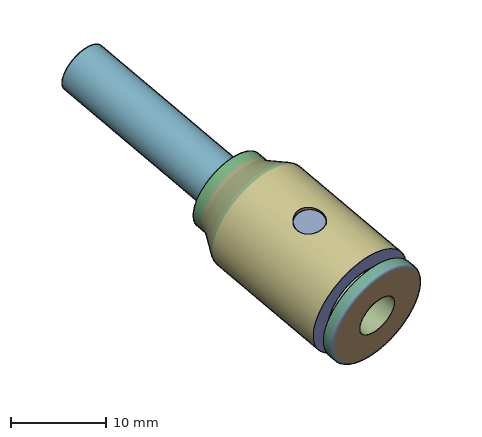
import cadquery as cq
import math

tube_start = 0.0
collar_start = 22.15
cone_start = 23.8
body_end = 42.35
flange_start = 43.42
overall_length = 45.0

bore_radius = 2.5
tube_radius = 3.0
collar_radius = 5.0
body_radius = 6.75
neck_radius = 4.6
flange_radius = 6.5

cone_angle = math.radians(31)
cone_end = cone_start + (body_radius - collar_radius) / math.tan(cone_angle)
cone_blend_radius = 1.0
flange_edge = 0.3

recess_x = 34.7
recess_radius = 1.75
recess_depth = 0.5


def cylinder(start, end, radius):
    """Solid cylinder centred on the X axis."""
    return cq.Workplane("YZ", origin=(start, 0, 0)).circle(radius).extrude(end - start)


def make_body():
    """Collar, cone and main barrel, with rounded blends at both ends of the cone."""
    profile = [
        (collar_start, 0),
        (collar_start, collar_radius),
        (cone_start, collar_radius),
        (cone_end, body_radius),
        (body_end, body_radius),
        (body_end, 0),
    ]
    body = cq.Workplane("XY").polyline(profile).close().revolve(360, (0, 0, 0), (1, 0, 0))
    cone_edges = cq.selectors.BoxSelector(
        (cone_start - cone_blend_radius, -body_radius, -body_radius),
        (cone_end + cone_blend_radius, body_radius, body_radius),
    )
    return body.edges("%CIRCLE").edges(cone_edges).fillet(cone_blend_radius)


def make_flange():
    """Release ring with rounded rims."""
    flange = cylinder(flange_start, overall_length, flange_radius)
    return flange.edges("%CIRCLE").fillet(flange_edge)


tube = cylinder(tube_start, collar_start, tube_radius)
neck = cylinder(body_end, flange_start, neck_radius)
bore = cylinder(tube_start, overall_length, bore_radius)
recess = (
    cq.Workplane("XY", origin=(recess_x, 0, body_radius - recess_depth))
    .circle(recess_radius)
    .extrude(2 * recess_depth)
)

result = make_body().union(tube).union(neck).union(make_flange()).cut(bore).cut(recess)